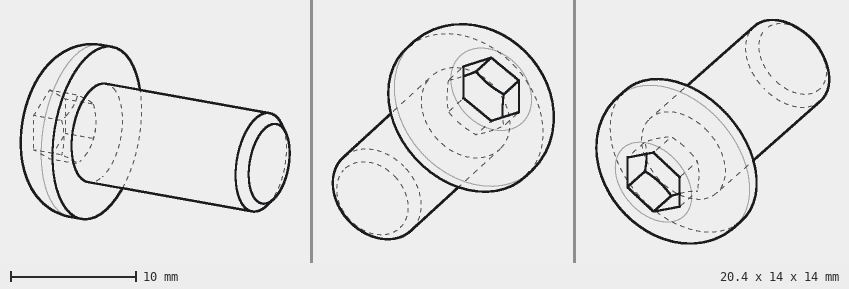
import cadquery as cq
import math

shank_diameter = 8.0
shank_length = 16.0
tip_chamfer = 0.767

head_diameter = 14.0
head_height = 4.4
rim_thickness = 1.05

socket_across_flats = 5.0
socket_depth = 2.6
socket_cone_angle = 120.0

shank_radius = shank_diameter / 2
head_radius = head_diameter / 2
dome_radius = head_height - rim_thickness
face_radius = head_radius - dome_radius
socket_corner_radius = socket_across_flats / math.sqrt(3)
socket_cone_depth = socket_corner_radius / math.tan(math.radians(socket_cone_angle / 2))


def make_body():
    """Head and shank, revolved about X from one half profile."""
    dome_middle = dome_radius * math.sqrt(0.5)
    return (
        cq.Workplane("XY")
        .moveTo(-head_height, 0)
        .lineTo(-head_height, face_radius)
        .threePointArc(
            (-rim_thickness - dome_middle, face_radius + dome_middle),
            (-rim_thickness, head_radius),
        )
        .lineTo(0, head_radius)
        .lineTo(0, shank_radius)
        .lineTo(shank_length - tip_chamfer, shank_radius)
        .lineTo(shank_length, shank_radius - tip_chamfer)
        .lineTo(shank_length, 0)
        .close()
        .revolve(360, (0, 0, 0), (1, 0, 0))
    )


def make_socket():
    """Hexagonal recess with corners towards +Z and -Z and a conical floor."""
    total_depth = socket_depth + socket_cone_depth
    hexagon = (
        cq.Workplane("YZ", origin=(-head_height, 0, 0))
        .transformed(rotate=(0, 0, 90))
        .polygon(6, 2 * socket_corner_radius)
        .extrude(total_depth)
    )
    drill = (
        cq.Workplane("XY")
        .moveTo(-head_height, 0)
        .lineTo(-head_height, socket_corner_radius)
        .lineTo(-head_height + socket_depth, socket_corner_radius)
        .lineTo(-head_height + total_depth, 0)
        .close()
        .revolve(360, (0, 0, 0), (1, 0, 0))
    )
    return hexagon.intersect(drill)


result = make_body().cut(make_socket())